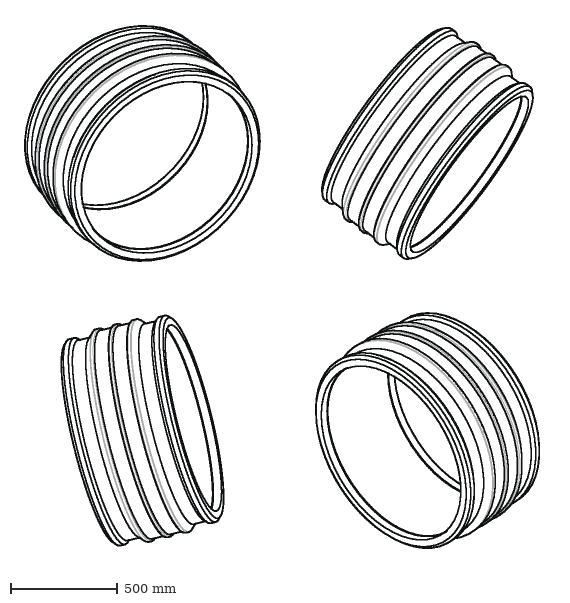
import cadquery as cq
import math

LENGTH = 500
BORE_RADIUS = 900 / 2
WAIST_RADIUS = 970 / 2
COLLAR_RADIUS = 1000 / 2
DRUM_RADIUS = 1010.38 / 2
BAND_RADIUS = 1031 / 2

COLLAR_CREST_WIDTH = 25
COLLAR_BEVEL = COLLAR_RADIUS - WAIST_RADIUS

BAND_WIDTH = 20
BAND_SPACING = 90
BAND_EDGE_RADIUS = 5

SHOULDER_ANGLE = math.radians(45)
SHOULDER_TOP_X = BAND_SPACING + BAND_WIDTH / 2
SHOULDER_FOOT_X = SHOULDER_TOP_X + (BAND_RADIUS - WAIST_RADIUS) / math.tan(SHOULDER_ANGLE)
SHOULDER_TANGENT_LENGTH = BAND_EDGE_RADIUS * math.tan(SHOULDER_ANGLE / 2)

GROOVE_RADIUS = 2
GROOVE_END_DISTANCE = 42


def revolve_about_axis(outline):
    """Full solid of revolution about X from a closed outline in the XY plane."""
    return outline.revolve(360, (0, 0, 0), (1, 0, 0))


def ring(points):
    """Ring with straight-sided section given as (x, radius) points."""
    return revolve_about_axis(cq.Workplane("XY").polyline(points).close())


def tube(half_length, outer_radius):
    """Plain tube around the bore, centred on the origin."""
    return ring([
        (-half_length, BORE_RADIUS),
        (half_length, BORE_RADIUS),
        (half_length, outer_radius),
        (-half_length, outer_radius),
    ])


def collar(side):
    """Bevelled collar at one end of the sleeve; side is -1 or 1."""
    end_x = side * LENGTH / 2
    crest_outer_x = end_x - side * COLLAR_BEVEL
    crest_inner_x = crest_outer_x - side * COLLAR_CREST_WIDTH
    foot_x = crest_inner_x - side * COLLAR_BEVEL
    return ring([
        (end_x, BORE_RADIUS),
        (end_x, WAIST_RADIUS),
        (crest_outer_x, COLLAR_RADIUS),
        (crest_inner_x, COLLAR_RADIUS),
        (foot_x, WAIST_RADIUS),
        (foot_x, BORE_RADIUS),
    ])


def shoulder(side):
    """Cone leading up to an outer band, rounded where it meets the crest; side is -1 or 1."""
    band_x = side * BAND_SPACING
    foot_x = side * SHOULDER_FOOT_X
    crest_tangent_x = side * (SHOULDER_TOP_X - SHOULDER_TANGENT_LENGTH)
    cone_tangent_x = side * (SHOULDER_TOP_X + SHOULDER_TANGENT_LENGTH * math.cos(SHOULDER_ANGLE))
    cone_tangent_radius = BAND_RADIUS - SHOULDER_TANGENT_LENGTH * math.sin(SHOULDER_ANGLE)
    outline = (
        cq.Workplane("XY")
        .moveTo(band_x, BORE_RADIUS)
        .lineTo(band_x, BAND_RADIUS)
        .lineTo(crest_tangent_x, BAND_RADIUS)
        .radiusArc((cone_tangent_x, cone_tangent_radius), side * BAND_EDGE_RADIUS)
        .lineTo(foot_x, WAIST_RADIUS)
        .lineTo(foot_x, BORE_RADIUS)
        .close()
    )
    return revolve_about_axis(outline)


def band(center_x):
    """Upright band with both crest edges rounded."""
    left_x = center_x - BAND_WIDTH / 2
    right_x = center_x + BAND_WIDTH / 2
    wall_top = BAND_RADIUS - BAND_EDGE_RADIUS
    outline = (
        cq.Workplane("XY")
        .moveTo(left_x, BORE_RADIUS)
        .lineTo(left_x, wall_top)
        .radiusArc((left_x + BAND_EDGE_RADIUS, BAND_RADIUS), BAND_EDGE_RADIUS)
        .lineTo(right_x - BAND_EDGE_RADIUS, BAND_RADIUS)
        .radiusArc((right_x, wall_top), BAND_EDGE_RADIUS)
        .lineTo(right_x, BORE_RADIUS)
        .close()
    )
    return revolve_about_axis(outline)


def bore_groove(side):
    """Torus that cuts a half-round groove into the bore wall; side is -1 or 1."""
    center_x = side * (LENGTH / 2 - GROOVE_END_DISTANCE)
    return revolve_about_axis(
        cq.Workplane("XY").moveTo(center_x, BORE_RADIUS).circle(GROOVE_RADIUS)
    )


result = tube(LENGTH / 2, WAIST_RADIUS).union(tube(BAND_SPACING, DRUM_RADIUS))
for position in (-1, 0, 1):
    result = result.union(band(position * BAND_SPACING))
for side in (-1, 1):
    result = result.union(collar(side)).union(shoulder(side)).cut(bore_groove(side))